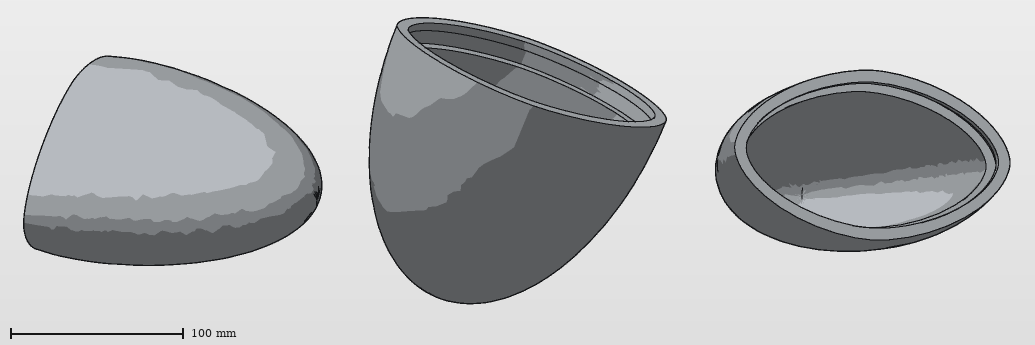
import cadquery as cq
import math

length = 150.0
half_width = 83.3
half_height = 50.0

wall = 10.0
lip_wall = 7.0
groove_wall = 4.0
lip_depth = 5.0
ledge_depth = 15.0

base_exponent = 1.75
nose_exponent = 2.0
rounding_rate = 6

stations = 16
outline_spans = 24


def outline_point(x, width, height, exponent, angle):
    """Point on a superellipse section; angle is measured from +Y toward +Z."""
    power = 2 / exponent
    y = width * abs(math.cos(angle)) ** power
    z = math.copysign(height * abs(math.sin(angle)) ** power, math.sin(angle))
    return cq.Vector(x, y, z)


def half_outline(x, width, height, exponent):
    """Points of the +Y half of a section, from bottom to top."""
    angles = [math.pi * (i / outline_spans - 0.5) for i in range(outline_spans + 1)]
    return [outline_point(x, width, height, exponent, angle) for angle in angles]


def egg(start, reach, width, height):
    """Solid half egg with its flat base at x = start and its nose at start + reach."""
    rows = []
    for i in range(stations + 1):
        along = math.sin(math.pi / 2 * i / stations)
        shrink = math.cos(math.pi / 2 * i / stations)
        pointedness = (1 - along) ** rounding_rate
        exponent = nose_exponent - (nose_exponent - base_exponent) * pointedness
        rows.append(half_outline(start + reach * along, width * shrink, height * shrink, exponent))
    skin = cq.Face.makeSplineApprox(rows, tol=0.01, minDeg=3, maxDeg=6)
    skins = [skin, skin.mirror("XZ")]
    rims = [min(half.Edges(), key=lambda edge: edge.Center().x) for half in skins]
    base = cq.Face.makeFromWires(cq.Wire.assembleEdges(rims))
    shell = cq.Shell.makeShell(skins + [base])
    return cq.Workplane(cq.Solid.makeSolid(shell).fix())


def mouth(start, end, rim_wall):
    """Straight plug with the base outline, inset by rim_wall."""
    right = half_outline(0, half_width - rim_wall, half_height - rim_wall, base_exponent)
    points = [(p.y, p.z) for p in right]
    mirrored = [(-y, z) for y, z in reversed(points)]
    return (
        cq.Workplane("YZ", origin=(start, 0, 0))
        .spline(points)
        .spline(mirrored)
        .close()
        .extrude(end - start)
    )

body = egg(0, length, half_width, half_height)
cavity = egg(ledge_depth, length - wall - ledge_depth, half_width - wall, half_height - wall)
lip_opening = mouth(0, lip_depth, lip_wall)
groove = mouth(lip_depth, ledge_depth, groove_wall)

result = body.cut(cavity).cut(groove).cut(lip_opening)